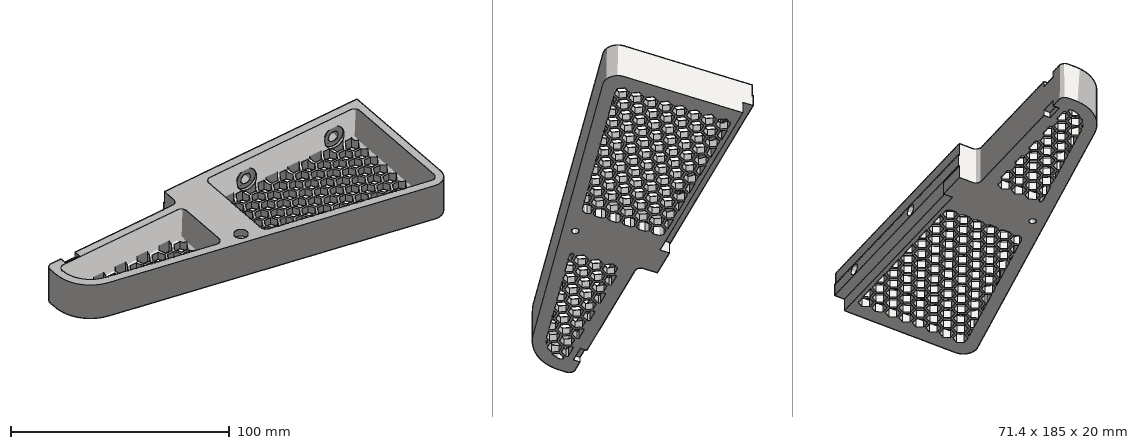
import cadquery as cq
import math

LENGTH = 185.0
HEIGHT = 20.0
RAIL_PROUD = 0.5
BODY_WIDTH = 71.37 - RAIL_PROUD
MID_Z = HEIGHT / 2

STEP_Y = 75.0
TAIL_X = 10.0
SMALL_RADIUS = 3.0
NOSE_RADIUS = 20.0
SHOULDER_RADIUS = 7.0
SIDE_ANGLE = math.radians(12.0)
SIDE_COS = math.cos(SIDE_ANGLE)
SIDE_SIN = math.sin(SIDE_ANGLE)

SHOULDER_X = BODY_WIDTH - SHOULDER_RADIUS
SHOULDER_Y = LENGTH - SHOULDER_RADIUS
NOSE_Y = NOSE_RADIUS
NOSE_X = SHOULDER_X - (
    NOSE_RADIUS - SHOULDER_RADIUS + (SHOULDER_Y - NOSE_Y) * SIDE_SIN
) / SIDE_COS

WALL = 4.0
HEAD_WALL = 4.4
HEAD_POCKET_Y = 95.0
DRAFT = 10.0
FLOOR = 4.0
POCKET_CORNER_RADIUS = 3.0
FLOOR_FILLET = 3.0
NOSE_JOIN_MARGIN = 0.2
POCKET_DEPTH = HEIGHT - FLOOR

HEX_FLATS = 6.0
HEX_DIAMETER = HEX_FLATS * 2 / math.sqrt(3)
MESH_WEB = 1.2
HEX_PITCH = HEX_FLATS + MESH_WEB
HEX_ROW_PITCH = HEX_PITCH * math.sqrt(3) / 2
HEX_FIRST_X = 10.1
HEX_FIRST_Y = 174.8
HEX_COLUMNS = 10
HEX_ROWS = 28
MESH_INSET = 2.4
MESH_CUT_HEIGHT = FLOOR + FLOOR_FILLET

RAIL_WIDTH = 6.5
SCREW_YS = (167.5, 117.5)
SCREW_DIAMETER = 5.5
SCREW_HEAD_DIAMETER = 11.0
SCREW_SEAT_X = 5.3
SCREW_SEAT_LENGTH = 4.0

RECESS_DEPTH = 4.7
RECESS_END_Y = 89.0

BRIDGE_HOLE_X = 45.1
BRIDGE_HOLE_Y = (HEAD_POCKET_Y + STEP_Y) / 2
BRIDGE_HOLE_DIAMETER = 3.4
BRIDGE_HEAD_DIAMETER = 6.5
BRIDGE_HEAD_DEPTH = 4.0

NOTCH_Y = 8.5
NOTCH_LENGTH = 8.0
NOTCH_HEIGHT = 3.0
NOTCH_DEPTH = 3.3


def box(x_range, y_range, z_range):
    """Block between pairs of X, Y and Z limits."""
    size = [high - low for low, high in (x_range, y_range, z_range)]
    corner = (x_range[0], y_range[0], z_range[0])
    return cq.Workplane("XY").box(*size, centered=False).translate(corner)


def side_x(y, inset):
    """X of the sloping side at height y, moved inward by inset."""
    return NOSE_X + (NOSE_RADIUS - inset + (y - NOSE_Y) * SIDE_SIN) / SIDE_COS


def arc_point(center_x, center_y, radius, angle):
    return (center_x + radius * math.cos(angle), center_y + radius * math.sin(angle))


def body():
    shoulder_mid_angle = (math.pi / 2 - SIDE_ANGLE) / 2
    nose_mid_angle = (-math.pi / 2 - SIDE_ANGLE) / 2
    solid = (
        cq.Workplane("XY")
        .moveTo(0, LENGTH)
        .lineTo(SHOULDER_X, LENGTH)
        .threePointArc(
            arc_point(SHOULDER_X, SHOULDER_Y, SHOULDER_RADIUS, shoulder_mid_angle),
            arc_point(SHOULDER_X, SHOULDER_Y, SHOULDER_RADIUS, -SIDE_ANGLE),
        )
        .lineTo(*arc_point(NOSE_X, NOSE_Y, NOSE_RADIUS, -SIDE_ANGLE))
        .threePointArc(
            arc_point(NOSE_X, NOSE_Y, NOSE_RADIUS, nose_mid_angle),
            (NOSE_X, 0),
        )
        .lineTo(TAIL_X, 0)
        .lineTo(TAIL_X, STEP_Y)
        .lineTo(0, STEP_Y)
        .close()
        .extrude(HEIGHT)
    )
    tail_edges = cq.selectors.BoxSelector(
        (TAIL_X - 1, -1, 0), (TAIL_X + 1, STEP_Y + 1, HEIGHT)
    )
    return solid.edges("|Z").edges(tail_edges).fillet(SMALL_RADIUS)


def head_outline(inset, z):
    """Four-sided head pocket outline, moved inward by inset."""
    low = HEAD_POCKET_Y + inset
    high = LENGTH - WALL - inset
    left = HEAD_WALL + inset
    return cq.Workplane("XY", origin=(0, 0, z)).polyline([
        (left, low),
        (left, high),
        (side_x(high, WALL + inset), high),
        (side_x(low, WALL + inset), low),
    ]).close()


def tail_outline(inset, z):
    """Tail pocket outline with its arc concentric with the nose, moved inward by inset."""
    low = WALL + inset
    high = STEP_Y - inset
    left = TAIL_X + WALL + inset
    radius = NOSE_RADIUS - low
    mid_angle = (-math.pi / 2 - SIDE_ANGLE) / 2
    outline = cq.Workplane("XY", origin=(0, 0, z)).moveTo(left, high)
    outline = outline.lineTo(side_x(high, low), high)
    outline = outline.lineTo(*arc_point(NOSE_X, NOSE_Y, radius, -SIDE_ANGLE))
    outline = outline.threePointArc(
        arc_point(NOSE_X, NOSE_Y, radius, mid_angle),
        (NOSE_X, low),
    )
    return outline.lineTo(left, low).close()


def is_corner(edge):
    """True for the rising edges of a pocket, apart from the smooth joins at the ends of the nose arc."""
    rising = abs(edge.startPoint().z - edge.endPoint().z) > FLOOR
    middle = edge.Center()
    at_nose_arc = middle.y < NOSE_Y and middle.x > NOSE_X - NOSE_JOIN_MARGIN
    return rising and not at_nose_arc


def pocket(outline):
    """Drafted pocket with rounded corners and a filleted floor."""
    solid = outline(0, HEIGHT).extrude(-POCKET_DEPTH, taper=DRAFT)
    solid = solid.edges().filter(is_corner).fillet(POCKET_CORNER_RADIUS)
    return solid.faces("<Z").edges().fillet(FLOOR_FILLET)


def honeycomb(outline):
    """Staggered hexagonal holes through a pocket floor, trimmed to the foot of the pocket walls."""
    reach = outline(MESH_INSET, 0).extrude(MESH_CUT_HEIGHT)
    reach = reach.edges().filter(is_corner).fillet(POCKET_CORNER_RADIUS)
    limits = outline(0, 0).extrude(MESH_CUT_HEIGHT).val().BoundingBox()
    centers = []
    for row in range(HEX_ROWS):
        shift = HEX_PITCH / 2 if row % 2 else 0
        for column in range(HEX_COLUMNS):
            x = HEX_FIRST_X + shift + (column - 1) * HEX_PITCH
            y = HEX_FIRST_Y - row * HEX_ROW_PITCH
            if limits.xmin < x < limits.xmax and limits.ymin < y < limits.ymax:
                centers.append((x, y))
    prisms = (
        cq.Workplane("XY")
        .pushPoints(centers)
        .eachpoint(hexagon(), combine=False)
    )
    return prisms.intersect(reach)


def hexagon():
    """Hexagonal prism with corners toward +Y and -Y."""
    return (
        cq.Workplane("XY")
        .transformed(rotate=(0, 0, 90))
        .polygon(6, HEX_DIAMETER)
        .extrude(MESH_CUT_HEIGHT)
        .val()
    )


def rail():
    """Guide rail along the left face of the head."""
    z_range = (MID_Z - RAIL_WIDTH / 2, MID_Z + RAIL_WIDTH / 2)
    return box((-RAIL_PROUD, 0), (STEP_Y, LENGTH), z_range)


def recess():
    """Relief under the rail that leaves a full-height block next to the step."""
    return box((0, RECESS_DEPTH), (RECESS_END_Y, LENGTH), (0, MID_Z - RAIL_WIDTH / 2))


def side_screw_hole(y):
    """Hole through the left wall, with a seat for the screw head inside the pocket."""
    start = cq.Workplane("YZ", origin=(-RAIL_PROUD, y, MID_Z))
    shank = start.circle(SCREW_DIAMETER / 2).extrude(SCREW_SEAT_X + RAIL_PROUD)
    seat = cq.Workplane("YZ", origin=(SCREW_SEAT_X, y, MID_Z))
    return shank.union(seat.circle(SCREW_HEAD_DIAMETER / 2).extrude(SCREW_SEAT_LENGTH))


def bridge_hole():
    """Counterbored vertical hole between the two pockets."""
    top = cq.Workplane("XY", origin=(BRIDGE_HOLE_X, BRIDGE_HOLE_Y, HEIGHT))
    shank = top.circle(BRIDGE_HOLE_DIAMETER / 2).extrude(-HEIGHT)
    return shank.union(top.circle(BRIDGE_HEAD_DIAMETER / 2).extrude(-BRIDGE_HEAD_DEPTH))


def notch(low_z):
    """Notch in the left edge of the tail."""
    return box(
        (TAIL_X, TAIL_X + NOTCH_DEPTH),
        (NOTCH_Y, NOTCH_Y + NOTCH_LENGTH),
        (low_z, low_z + NOTCH_HEIGHT),
    )


result = body().union(rail())
for pocket_outline in (head_outline, tail_outline):
    result = result.cut(pocket(pocket_outline))
    result = result.cut(honeycomb(pocket_outline))
result = result.cut(recess())
for screw_y in SCREW_YS:
    result = result.cut(side_screw_hole(screw_y))
result = result.cut(bridge_hole())
for notch_z in (0, HEIGHT - NOTCH_HEIGHT):
    result = result.cut(notch(notch_z))